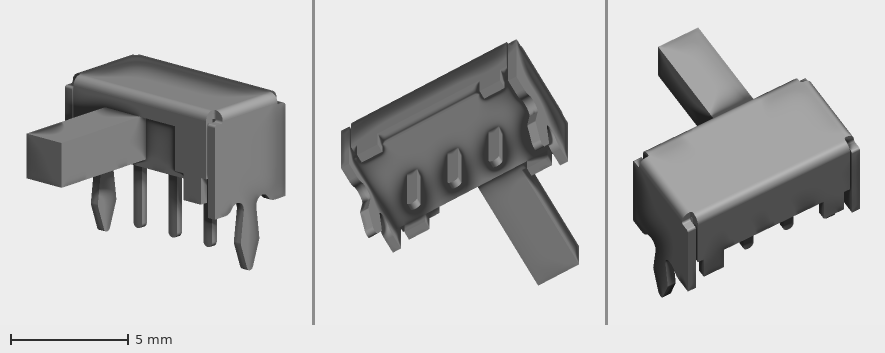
import cadquery as cq
import math


cover_length = 8.6
cover_width = 4.5
cover_height = 7.5
sheet = 0.4
corner_relief = 0.1
inner_length = cover_length - 2 * sheet
inner_width = cover_width - 2 * sheet
long_fold_length = inner_length - 2 * corner_relief
side_fold_length = inner_width - 2 * corner_relief

wall_bottom = -3.0
tab_bottom = -4.2
tab_inner_x = 2.5
tab_outer_x = 3.51
window_half_length = 2.0
window_top = -1.0

flange_top = -sheet - corner_relief
flange_bottom = -4.7
notch_radius = 0.41
notch_offset = 0.81
lip_radius = 0.5
blade_half_width = 0.6
blade_z = -6.19
blade_rounding = 0.2
tip_radius = 0.2

slider_travel = 2.0
carriage_length = inner_length - slider_travel
knob_length = 2.0
overall_width = 9.5
knob_reach = overall_width - cover_width

base_thickness = 0.4
base_bottom = wall_bottom - base_thickness
pin_count = 3
pin_pitch = 2.0
pin_width = 0.5
pin_thickness = 0.3
pin_end = -6.91


def block(x_range, y_range, z_range):
    """Box between pairs of limits along X, Y and Z."""
    corner = (x_range[0], y_range[0], z_range[0])
    size = (x_range[1] - x_range[0], y_range[1] - y_range[0], z_range[1] - z_range[0])
    return cq.Workplane("XY").box(*size, centered=False).translate(corner)


def on_circle(centre, radius, angle):
    """Point of a circle at an angle in radians."""
    return (centre[0] + radius * math.cos(angle), centre[1] + radius * math.sin(angle))


def tangent_angle(point, centre, radius, turn):
    """Angle on a circle where a line from an outside point touches it; turn, +1 or -1, picks the side."""
    dx = point[0] - centre[0]
    dy = point[1] - centre[1]
    return math.atan2(dy, dx) + turn * math.acos(radius / math.hypot(dx, dy))


def both_sides(shape, plane):
    """A shape joined with its mirror image in a plane through the origin."""
    return shape.union(shape.mirror(plane))


def make_roof():
    """Flat top of the cover, with a round relief at each corner."""
    roof = cq.Workplane("XY").rect(inner_length, inner_width).extrude(-sheet)
    reliefs = (
        cq.Workplane("XY").rect(inner_length, inner_width, forConstruction=True)
        .vertices().circle(corner_relief).extrude(-sheet)
    )
    return roof.cut(reliefs)


def make_fold(plane, inner_edge, length):
    """Quarter-round bend beside the roof, centred along the plane's normal."""
    return (
        cq.Workplane(plane).moveTo(inner_edge, -sheet).lineTo(inner_edge, 0)
        .threePointArc(on_circle((inner_edge, -sheet), sheet, math.pi / 4), (inner_edge + sheet, -sheet))
        .close().extrude(length / 2, both=True)
    )


def make_back_wall():
    """Plain long wall with two tabs that hold the base plate."""
    y_range = (inner_width / 2, cover_width / 2)
    wall = block((-long_fold_length / 2, long_fold_length / 2), y_range, (wall_bottom, -sheet))
    tab = block((tab_inner_x, tab_outer_x), y_range, (tab_bottom, wall_bottom))
    return wall.union(both_sides(tab, "YZ"))


def make_front_wall():
    """Long wall with the slider window, open at the bottom."""
    window = block(
        (-window_half_length, window_half_length),
        (-cover_width / 2, -inner_width / 2),
        (wall_bottom, window_top),
    )
    return make_back_wall().mirror("XZ").cut(window)


def make_side_flange():
    """Side wall at +X with its mounting tail, drawn as the +Y half and mirrored."""
    fold_end = side_fold_length / 2
    outer_y = cover_width / 2
    relief_centre = (fold_end + corner_relief, -sheet)
    top_corner_centre = (outer_y - corner_relief, flange_top - corner_relief)

    notch_centre = (notch_offset, flange_bottom)
    lip_offset = math.sqrt((notch_radius + lip_radius) ** 2 - lip_radius ** 2)
    lip_centre = (notch_offset + lip_offset, flange_bottom + lip_radius)
    notch_start = math.atan2(lip_radius, lip_offset)
    lip_end = notch_start - math.pi
    lip_middle = (lip_end - math.pi / 2) / 2

    blade_corner = (blade_half_width, blade_z)
    tip_centre = (0, -cover_height + tip_radius)
    notch_end = tangent_angle(blade_corner, notch_centre, notch_radius, -1) % (2 * math.pi)
    tip_start = tangent_angle(blade_corner, tip_centre, tip_radius, -1)
    tip_middle = (tip_start - math.pi / 2) / 2

    half = (
        cq.Workplane("YZ", origin=(inner_length / 2, 0, 0))
        .moveTo(0, -sheet)
        .lineTo(fold_end, -sheet)
        .threePointArc(
            on_circle(relief_centre, corner_relief, -3 * math.pi / 4),
            (relief_centre[0], flange_top),
        )
        .lineTo(top_corner_centre[0], flange_top)
        .threePointArc(
            on_circle(top_corner_centre, corner_relief, math.pi / 4),
            (outer_y, top_corner_centre[1]),
        )
        .lineTo(outer_y, flange_bottom)
        .lineTo(lip_centre[0], flange_bottom)
        .threePointArc(
            on_circle(lip_centre, lip_radius, lip_middle),
            on_circle(lip_centre, lip_radius, lip_end),
        )
        .threePointArc(
            on_circle(notch_centre, notch_radius, (notch_start + notch_end) / 2),
            on_circle(notch_centre, notch_radius, notch_end),
        )
        .lineTo(*blade_corner)
        .lineTo(*on_circle(tip_centre, tip_radius, tip_start))
        .threePointArc(on_circle(tip_centre, tip_radius, tip_middle), (0, -cover_height))
        .close().extrude(sheet)
    )
    blade_edge = cq.selectors.NearestToPointSelector((inner_length / 2 + sheet / 2, *blade_corner))
    half = half.edges("|X").edges(blade_edge).fillet(blade_rounding)
    return both_sides(half, "XZ")


def make_cover():
    """Sheet cover folded down on all four sides."""
    long_folds = both_sides(make_fold("YZ", inner_width / 2, long_fold_length), "XZ")
    side_folds = both_sides(make_fold("XZ", inner_length / 2, side_fold_length), "YZ")
    side_flanges = both_sides(make_side_flange(), "YZ")
    return (
        make_roof().union(long_folds).union(side_folds)
        .union(make_front_wall()).union(make_back_wall()).union(side_flanges)
    )


def make_base():
    """Plate that closes the cover from below, between the tabs."""
    return (
        cq.Workplane("XY", origin=(0, 0, base_bottom))
        .rect(inner_length, inner_width).extrude(base_thickness)
    )


def make_slider():
    """Carriage at the -X end of its travel, with the knob through the window."""
    carriage_start = -inner_length / 2
    carriage_end = carriage_start + carriage_length
    carriage = block(
        (carriage_start, carriage_end),
        (-inner_width / 2, inner_width / 2),
        (wall_bottom, -sheet),
    )
    knob = block(
        (-window_half_length, -window_half_length + knob_length),
        (-cover_width / 2 - knob_reach, -inner_width / 2),
        (wall_bottom, window_top),
    )
    return carriage.union(knob)


def make_pin(x):
    """Flat terminal below the base plate with a full round end."""
    half_width = pin_width / 2
    shoulder = pin_end + half_width
    return (
        cq.Workplane("XZ").moveTo(x - half_width, base_bottom)
        .lineTo(x + half_width, base_bottom).lineTo(x + half_width, shoulder)
        .threePointArc((x, pin_end), (x - half_width, shoulder))
        .close().extrude(pin_thickness / 2, both=True)
    )


cover = make_cover()
base = make_base()
slider = make_slider()
pins = [make_pin((i - (pin_count - 1) / 2) * pin_pitch) for i in range(pin_count)]

result = cq.Compound.makeCompound(
    [cover.val(), base.val(), slider.val(), *[pin.val() for pin in pins]]
)